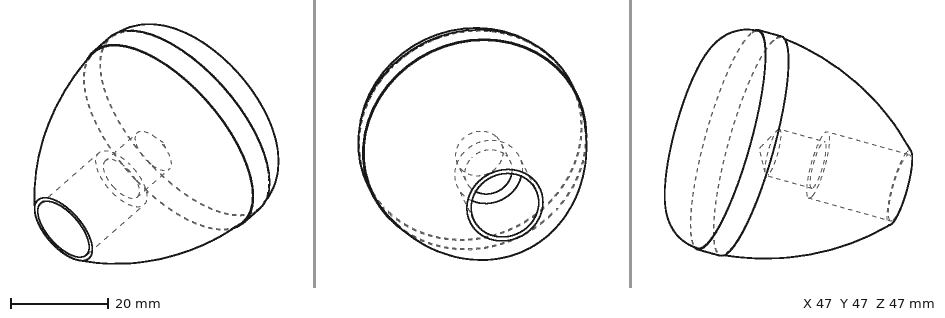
import cadquery as cq
import math

length = 47.0
band_radius = 23.5
body_radius = 23.25
neck_radius = 8.0
flank_radius = 53.1
band_start = 32.5
band_end = 37.5
shoulder_radius = 8.0
crown_height = 1.7

bore_radius = 7.1
bore_depth = 17.85
drill_radius = 5.0
drill_depth = 9.85
drill_tip_angle = 118.0


def make_body():
    """Revolve the outer profile; sketch x is the radius, sketch y the axis."""
    crown_edge_y = length - crown_height
    shoulder_center_radius = body_radius - shoulder_radius
    shoulder_rise = crown_edge_y - band_end
    crown_edge_radius = shoulder_center_radius + math.sqrt(shoulder_radius**2 - shoulder_rise**2)

    crown_radius = (crown_edge_radius**2 + crown_height**2) / (2 * crown_height)

    return (
        cq.Workplane("XY")
        .lineTo(neck_radius, 0)
        .radiusArc((body_radius, band_start), -flank_radius)
        .lineTo(band_radius, band_start)
        .lineTo(band_radius, band_end)
        .lineTo(body_radius, band_end)
        .radiusArc((crown_edge_radius, crown_edge_y), -shoulder_radius)
        .radiusArc((0, length), -crown_radius)
        .close()
        .revolve(360, (0, 0), (0, 1))
    )


def make_hole():
    """Revolve the bore, its flat floor and the drilled hole with a conical tip."""
    drill_end = bore_depth + drill_depth
    tip_length = drill_radius / math.tan(math.radians(drill_tip_angle / 2))

    return (
        cq.Workplane("XY")
        .lineTo(bore_radius, 0)
        .lineTo(bore_radius, bore_depth)
        .lineTo(drill_radius, bore_depth)
        .lineTo(drill_radius, drill_end)
        .lineTo(0, drill_end + tip_length)
        .close()
        .revolve(360, (0, 0), (0, 1))
    )


result = make_body().cut(make_hole())